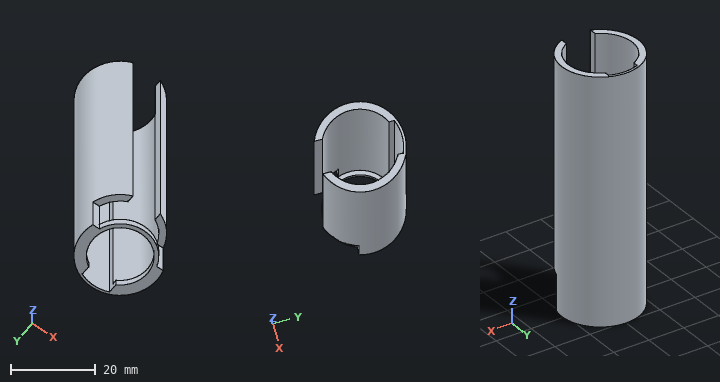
import cadquery as cq

length = 69.0
outer_radius = 11.0
bore_radius = 9.1
lip_radius = 8.0
lip_height = 2.0
slot_width = 8.15
keyway_radius = 10.3
window_top = 10.0
window_back = -3.05


def cylinder(radius, height):
    """Cylinder standing on Z = 0, centred on the tube axis."""
    return cq.Workplane("XY").circle(radius).extrude(height)


def front_box(width, back, height):
    """Box from Y = back past the front of the tube, rising from Z = 0."""
    depth = outer_radius + back
    return cq.Workplane("XY").box(width, depth, height, centered=(True, False, False)).translate(
        (0, -outer_radius, 0)
    )


tube = cylinder(outer_radius, length).cut(cylinder(bore_radius, length))

tube = tube.cut(front_box(slot_width, 0, length))
tube = tube.cut(front_box(2 * outer_radius, window_back, window_top))

lip = cylinder(bore_radius, lip_height).cut(cylinder(lip_radius, lip_height))
body = tube.union(lip)

keyway = (
    cq.Workplane("XY")
    .box(slot_width, outer_radius, length, centered=(True, False, False))
    .intersect(cylinder(keyway_radius, length))
)
result = body.cut(keyway)